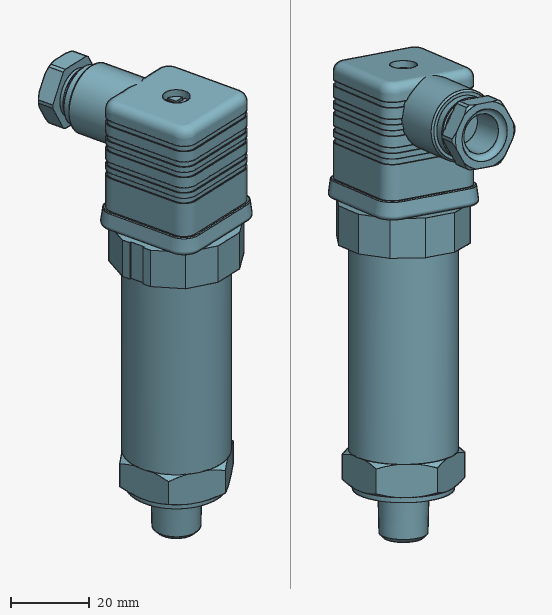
import cadquery as cq
import math


port_root_radius = 7.0
port_thread_radius = 6.5
port_end_radius = 6.2
port_tip_radius = 5.1
port_tip_height = 1.1
port_neck_z = 12.0
flange_z = 12.9
flange_radius = 13.0

hex_z = 14.4
hex_height = 8.9
hex_corner_radius = 15.6
hex_face_radius = 13.6
hex_chamfer_angle = 30
hex_chamfer_height = (hex_corner_radius - hex_face_radius) * math.tan(math.radians(hex_chamfer_angle))

tube_radius = 14.0
tube_bottom_z = hex_z + hex_height
tube_top_z = 78.1
tube_neck_radius = 13.4

nut_z = 78.7
nut_height = 10.5
nut_across_flats = 33.5
nut_sides = 12
nut_notch_width = 4.1
nut_notch_depth = 0.5

total_height = 124.9
housing_width = 27.7
corner_radius = 3.7
top_fillet = 2.5
skirt_z = nut_z + nut_height
skirt_width = 30.6
skirt_top_width = 29.2
skirt_top_z = 94.2
skirt_bottom_fillet = 1.0
skirt_top_chamfer = 0.2
skirt_corner_radius = corner_radius + (skirt_width - housing_width) / 2

groove_height = 1.5
groove_depth = 0.4
groove_tops = [total_height - drop for drop in (4.7, 9.2, 12.2, 16.7, 19.7)]

screw_hole_radius = 3.5
screw_hole_depth = 3.0
screw_head_radius = 3.1
screw_head_height = 1.2
screw_slot_width = 0.7
screw_slot_depth = 0.7

barrel_radius = 9.5
gland_z = total_height - barrel_radius
barrel_x = -27.5
barrel_chamfer = 0.5
barrel_inner_x = top_fillet - housing_width / 2
collar_x = -29.7
collar_radius = 8.1
thread_x = -31.1
thread_radius = 7.0
thread_pitch = 0.5
thread_turns = 2
thread_end_x = thread_x + thread_turns * thread_pitch
gland_neck_radius = 6.6
shoulder_start_radius = 7.4
shoulder_end_radius = 7.7
gland_nut_x = -32.1
overall_length_x = 54.0
gland_end_x = nut_across_flats / 2 - overall_length_x
gland_nut_length = gland_nut_x - gland_end_x
gland_nut_across_flats = 17.1
gland_nut_corner_radius = 9.6
gland_nut_face_radius = 8.9
gland_nut_chamfer = 0.5
bore_radius = 5.2
bore_fillet = 1.6
bore_depth = 11.2


def regular_prism(across_flats, height, sides=6):
    """Prism from Z = 0 with a corner on +X."""
    corner_diameter = across_flats / math.cos(math.pi / sides)
    return cq.Workplane("XY").polygon(sides, corner_diameter).extrude(height)


def rounded_block(width, radius, z, height, taper=0):
    return (
        cq.Workplane("XY", origin=(0, 0, z))
        .sketch()
        .rect(width, width)
        .vertices()
        .fillet(radius)
        .finalize()
        .extrude(height, taper=taper)
    )


def turned_about_z(points):
    return cq.Workplane("XZ").polyline(points).close().revolve(360, (0, 0, 0), (0, 1, 0))


def along_gland(solid, x):
    """Lay a solid built along +Z onto the gland axis, starting at x and running to +X."""
    return solid.rotate((0, 0, 0), (0, 1, 0), 90).translate((x, 0, gland_z))


def make_stem():
    """Port, flange, body tube and the narrow neck under the coupling nut."""
    return turned_about_z([
        (0, 0),
        (port_tip_radius, 0),
        (port_end_radius, port_tip_height),
        (port_thread_radius, port_neck_z),
        (port_root_radius, flange_z),
        (flange_radius, flange_z),
        (flange_radius, tube_bottom_z),
        (tube_radius, tube_bottom_z),
        (tube_radius, tube_top_z),
        (tube_neck_radius, tube_top_z),
        (tube_neck_radius, nut_z),
        (0, nut_z),
    ])


def make_lower_hexagon():
    """Hexagon with both ends chamfered by cones."""
    prism = regular_prism(hex_corner_radius * math.sqrt(3), hex_height)
    envelope = turned_about_z([
        (0, 0),
        (hex_face_radius, 0),
        (hex_corner_radius, hex_chamfer_height),
        (hex_corner_radius, hex_height - hex_chamfer_height),
        (hex_face_radius, hex_height),
        (0, hex_height),
    ])
    return prism.intersect(envelope).translate((0, 0, hex_z))


def make_coupling_nut():
    """Twelve-sided nut with flats on the axes and a marking notch on the -Y flat."""
    nut = regular_prism(nut_across_flats, nut_height, nut_sides)
    nut = nut.rotate((0, 0, 0), (0, 0, 1), 180 / nut_sides)
    notch = (
        cq.Workplane("XY")
        .center(0, -nut_across_flats / 2)
        .rect(nut_notch_width, 2 * nut_notch_depth)
        .extrude(nut_height)
    )
    return nut.cut(notch).translate((0, 0, nut_z))


def make_skirt():
    """Flared foot of the housing, tapering inward to the top."""
    height = skirt_top_z - skirt_z
    taper = math.degrees(math.atan((skirt_width - skirt_top_width) / 2 / height))
    skirt = rounded_block(skirt_width, skirt_corner_radius, skirt_z, height, taper)
    skirt = skirt.faces(">Z").edges().chamfer(skirt_top_chamfer)
    return skirt.faces("<Z").edges().fillet(skirt_bottom_fillet)


def make_housing():
    housing = rounded_block(housing_width, corner_radius, skirt_z, total_height - skirt_z)
    housing = housing.faces(">Z").edges().fillet(top_fillet)
    core_width = housing_width - 2 * groove_depth
    for groove_top in groove_tops:
        z = groove_top - groove_height
        outside = rounded_block(skirt_width, corner_radius, z, groove_height)
        core = rounded_block(core_width, corner_radius - groove_depth, z, groove_height)
        housing = housing.cut(outside.cut(core))
    return housing.union(make_skirt())


def make_gland():
    """Barrel, collar, thread and neck, turned about the gland axis."""
    thread = []
    for turn in range(thread_turns):
        root_x = thread_x + turn * thread_pitch
        thread += [(gland_neck_radius, root_x), (thread_radius, root_x + thread_pitch / 2)]
    return along_gland(turned_about_z([
        (0, gland_nut_x),
        (gland_neck_radius, gland_nut_x),
        *thread,
        (gland_neck_radius, thread_end_x),
        (shoulder_start_radius, thread_end_x),
        (shoulder_end_radius, collar_x),
        (collar_radius, collar_x),
        (collar_radius, barrel_x),
        (barrel_radius - barrel_chamfer, barrel_x),
        (barrel_radius, barrel_x + barrel_chamfer),
        (barrel_radius, barrel_inner_x),
        (0, barrel_inner_x),
    ]), 0)


def make_gland_nut():
    """Hexagon nut with trimmed corners and a chamfered outer face."""
    prism = regular_prism(gland_nut_across_flats, gland_nut_length)
    envelope = turned_about_z([
        (0, 0),
        (gland_nut_face_radius, 0),
        (gland_nut_corner_radius, gland_nut_chamfer),
        (gland_nut_corner_radius, gland_nut_length),
        (0, gland_nut_length),
    ])
    nut = prism.intersect(envelope).rotate((0, 0, 0), (0, 0, 1), 90)
    return along_gland(nut, gland_end_x)


def make_gland_bore():
    """Blind cable entry with a rounded mouth."""
    bore = (
        cq.Workplane("XZ")
        .moveTo(0, 0)
        .lineTo(bore_radius + bore_fillet, 0)
        .radiusArc((bore_radius, bore_fillet), -bore_fillet)
        .lineTo(bore_radius, bore_depth)
        .lineTo(0, bore_depth)
        .close()
        .revolve(360, (0, 0, 0), (0, 1, 0))
    )
    return along_gland(bore, gland_end_x)


def make_screw():
    """Cross-slotted screw head sitting on the floor of its recess."""
    floor_z = total_height - screw_hole_depth
    head = cq.Workplane("XY", origin=(0, 0, floor_z)).circle(screw_head_radius).extrude(screw_head_height)
    slot_length = 2 * screw_head_radius
    slots = head.faces(">Z").workplane()
    for length, width in ((slot_length, screw_slot_width), (screw_slot_width, slot_length)):
        head = head.cut(slots.rect(length, width).extrude(-screw_slot_depth, combine=False))
    return head


screw_recess = (
    cq.Workplane("XY", origin=(0, 0, total_height - screw_hole_depth))
    .circle(screw_hole_radius)
    .extrude(screw_hole_depth)
)

result = (
    make_stem()
    .union(make_lower_hexagon())
    .union(make_coupling_nut())
    .union(make_housing())
    .union(make_gland())
    .union(make_gland_nut())
    .cut(make_gland_bore())
    .cut(screw_recess)
    .union(make_screw())
)